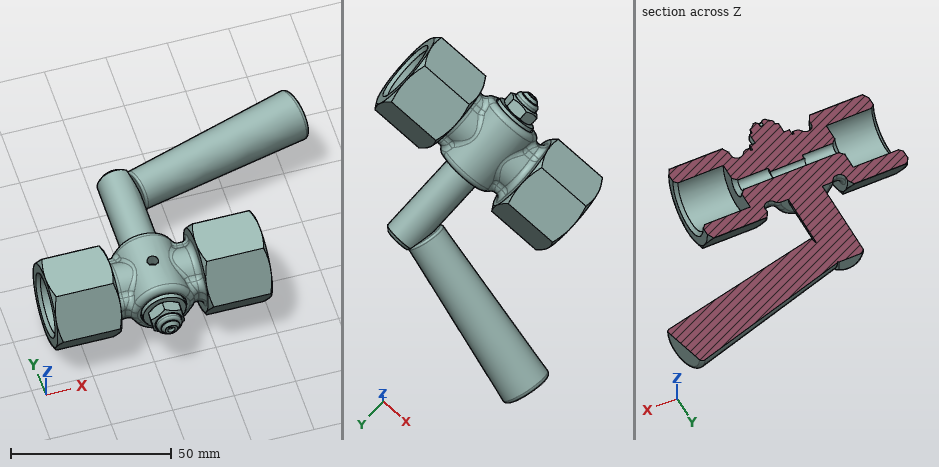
import cadquery as cq
import math


port_reach = 35.0
port_length = 21.0
across_flats = 27.0
port_turn = 90
thread_diameter = 18.6
thread_depth = 16.9
thread_chamfer = 1.2
bore_diameter = 4.0
countersink_diameter = 7.0
barrel_diameter = 20.0
barrel_half_length = 12.0
barrel_end_radius = 2.0
vent_diameter = 3.5
recess_diameter = 15.0
recess_depth = 1.0

neck_diameter = 16.0
rib_reach = 10.0
rib_flat = 3.3
rib_radius = 3.0
barrel_blend = 1.9
port_blend = 2.0

plug_diameter = 12.0
stem_top = 41.8
stem_chamfer = 1.2
plug_bore_diameter = 3.0
plug_bore_offset = 1.0

handle_tilt = 15
handle_pivot = 34.1
handle_start = 5.1
handle_end = 63.8
handle_small_diameter = 13.0
handle_large_diameter = 16.9
handle_small_radius = 0.8
handle_large_radius = 1.2

washer_diameter = 14.0
washer_outer = 13.1
nut_outer = 17.2
collar_outer = 19.1
stud_outer = 20.4
nut_across_flats = 10.0
nut_turn = 40
nut_face_diameter = 8.9
collar_diameter = 8.2
collar_radius = 1.0
stud_diameter = 6.0
stud_chamfer = 1.0
centre_diameter = 2.4
centre_hole_diameter = 1.0
centre_hole_depth = 2.0

selection_margin = 0.1
hex_chamfer_angle = math.radians(30)


def along_y(start, end, diameter):
    """Cylinder on the Y axis from start up to end."""
    return cq.Workplane("XZ", origin=(0, end, 0)).circle(diameter / 2).extrude(end - start)


def along_x(start, end, diameter, y=0):
    """Cylinder parallel to X from start up to end."""
    return cq.Workplane("YZ", origin=(start, y, 0)).circle(diameter / 2).extrude(end - start)


def chamfered_hexagon(flats, length, turn, far_face_diameter):
    """Hexagonal prism along Z from the origin, both ends turned conical down to round faces."""
    corner = flats / math.sqrt(3)
    far_face = far_face_diameter / 2
    near_rise = (corner - flats / 2) * math.tan(hex_chamfer_angle)
    far_rise = (corner - far_face) * math.tan(hex_chamfer_angle)
    prism = cq.Workplane("XY").polygon(6, 2 * corner).extrude(length)
    prism = prism.rotate((0, 0, 0), (0, 0, 1), turn)
    turned = (
        cq.Workplane("XZ")
        .moveTo(0, 0)
        .lineTo(flats / 2, 0)
        .lineTo(corner, near_rise)
        .lineTo(corner, length - far_rise)
        .lineTo(far_face, length)
        .lineTo(0, length)
        .close()
        .revolve(360, (0, 0, 0), (0, 1, 0))
    )
    return prism.intersect(turned)


def neck_profile():
    """Tube section with a rounded rib on both sides, all joints tangent."""
    tube = neck_diameter / 2
    corner_y = rib_reach - rib_radius
    corner_z = rib_flat / 2
    corner_distance = math.hypot(corner_y, corner_z)
    hollow_distance = tube + rib_radius
    cosine = (corner_distance**2 + hollow_distance**2 - (2 * rib_radius) ** 2) / (
        2 * corner_distance * hollow_distance
    )
    hollow_angle = math.atan2(corner_z, corner_y) + math.acos(cosine)
    hollow_y = hollow_distance * math.cos(hollow_angle)
    hollow_z = hollow_distance * math.sin(hollow_angle)
    joint = ((corner_y + hollow_y) / 2, (corner_z + hollow_z) / 2)
    foot = (tube * math.cos(hollow_angle), tube * math.sin(hollow_angle))
    edge = (rib_reach, corner_z)

    def flip(point, y_sign, z_sign):
        return (y_sign * point[0], z_sign * point[1])

    return (
        cq.Workplane("YZ")
        .moveTo(*flip(edge, 1, -1))
        .lineTo(*edge)
        .tangentArcPoint(joint, relative=False)
        .tangentArcPoint(foot, relative=False)
        .threePointArc((0, tube), flip(foot, -1, 1))
        .tangentArcPoint(flip(joint, -1, 1), relative=False)
        .tangentArcPoint(flip(edge, -1, 1), relative=False)
        .lineTo(*flip(edge, -1, -1))
        .tangentArcPoint(flip(joint, -1, -1), relative=False)
        .tangentArcPoint(flip(foot, -1, -1), relative=False)
        .threePointArc((0, -tube), flip(foot, 1, -1))
        .tangentArcPoint(flip(joint, 1, -1), relative=False)
        .tangentArcPoint(flip(edge, 1, -1), relative=False)
        .close()
    )


def make_body():
    """Barrel and two hexagonal ports joined by necks, without any bores."""
    neck_reach = port_reach - port_length
    barrel = along_y(-barrel_half_length, barrel_half_length, barrel_diameter)
    body = barrel.union(neck_profile().extrude(neck_reach, both=True))
    body = body.edges("%BSPLINE").fillet(barrel_blend)
    body = body.faces("<Y or >Y").edges().fillet(barrel_end_radius)

    port = chamfered_hexagon(across_flats, port_length, port_turn, across_flats)
    port = port.rotate((0, 0, 0), (0, 1, 0), 90)
    for inner_face in (neck_reach, -port_reach):
        body = body.union(port.translate((inner_face, 0, 0)))
    span = rib_reach + selection_margin
    for side in (-1, 1):
        face_x = side * neck_reach
        low_corner = (face_x - selection_margin, -span, -span)
        high_corner = (face_x + selection_margin, span, span)
        neck_joint = cq.selectors.BoxSelector(low_corner, high_corner)
        body = body.edges(neck_joint).fillet(port_blend)
    return body


def cut_ports(body):
    """Threaded socket, countersink and bore of each port, and the vent on top."""
    floor = port_reach - thread_depth
    thread = thread_diameter / 2
    countersink = countersink_diameter / 2
    bore = bore_diameter / 2
    socket = (
        cq.Workplane("XY")
        .moveTo(0, 0)
        .lineTo(0, bore)
        .lineTo(floor - (countersink - bore), bore)
        .lineTo(floor, countersink)
        .lineTo(floor, thread)
        .lineTo(port_reach - thread_chamfer, thread)
        .lineTo(port_reach, thread + thread_chamfer)
        .lineTo(port_reach, 0)
        .close()
        .revolve(360, (0, 0, 0), (1, 0, 0))
    )
    vent = cq.Workplane("XY").circle(vent_diameter / 2).extrude(barrel_diameter)
    return body.cut(socket).cut(socket.mirror("YZ")).cut(vent)


def tilt_to_handle(shape):
    """Move a shape built along X onto the handle axis."""
    return shape.rotate((0, 0, 0), (0, 0, 1), handle_tilt).translate((0, handle_pivot, 0))


def make_plug():
    """Plug turning in the barrel, with its cross bore and a stem cut flat to seat the handle."""
    plug = along_y(-barrel_half_length, stem_top, plug_diameter)
    plug = plug.faces(">Y").edges().chamfer(stem_chamfer)
    seat = along_x(handle_start, handle_end, 2 * plug_diameter)
    plug = plug.cut(tilt_to_handle(seat))
    return plug.cut(along_x(-plug_diameter, plug_diameter, plug_bore_diameter, plug_bore_offset))


def make_handle():
    """Tapered grip tilted away from the stem."""
    grip = (
        cq.Workplane("YZ", origin=(handle_start, 0, 0))
        .circle(handle_small_diameter / 2)
        .workplane(offset=handle_end - handle_start)
        .circle(handle_large_diameter / 2)
        .loft()
    )
    grip = grip.faces("<X").edges().fillet(handle_small_radius)
    grip = grip.faces(">X").edges().fillet(handle_large_radius)
    return tilt_to_handle(grip)


def make_fastener():
    """Washer, lock nut with rounded collar, and the stud end with its centre hole."""
    washer = along_y(-washer_outer, recess_depth - barrel_half_length, washer_diameter)
    nut_length = nut_outer - washer_outer
    nut = chamfered_hexagon(nut_across_flats, nut_length, nut_turn, nut_face_diameter)
    nut = nut.rotate((0, 0, 0), (1, 0, 0), 90).translate((0, -washer_outer, 0))
    collar = along_y(-collar_outer, -nut_outer, collar_diameter)
    collar = collar.faces("<Y").edges().fillet(collar_radius)
    stud = along_y(-stud_outer, -nut_outer, stud_diameter)
    stud = stud.faces("<Y").edges().chamfer(stud_chamfer)

    cone_radius = centre_diameter / 2
    hole_radius = centre_hole_diameter / 2
    centre = (
        cq.Workplane("XY")
        .moveTo(0, -stud_outer)
        .lineTo(cone_radius, -stud_outer)
        .lineTo(hole_radius, -stud_outer + cone_radius - hole_radius)
        .lineTo(hole_radius, -stud_outer + centre_hole_depth)
        .lineTo(0, -stud_outer + centre_hole_depth)
        .close()
        .revolve(360, (0, 0, 0), (0, 1, 0))
    )
    return washer.union(nut).union(collar).union(stud).cut(centre)


recess = along_y(-barrel_half_length, recess_depth - barrel_half_length, recess_diameter)
valve_body = cut_ports(make_body()).cut(recess)
result = valve_body.union(make_plug()).union(make_handle()).union(make_fastener())